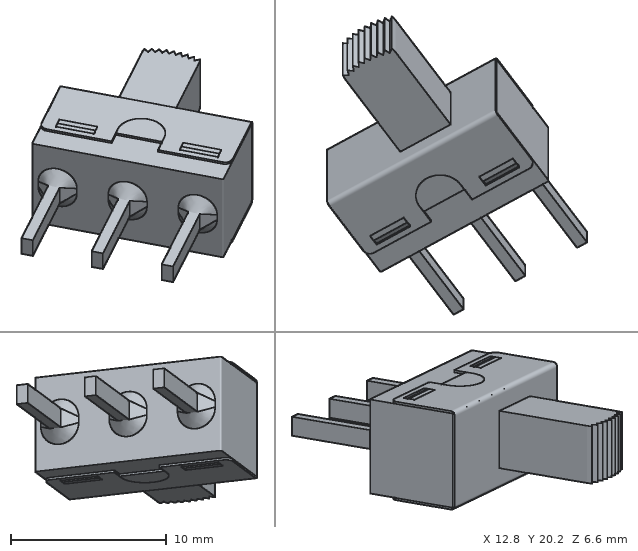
import cadquery as cq
import math


OVERALL_LENGTH = 20.2

BODY_WIDTH = 12.85
BODY_DEPTH = 6.35
BODY_HEIGHT = 6.6
REAR_EDGE_RADIUS = 0.1

SHEET = 0.151
FOLD_RADIUS = 0.3
COVER_DEPTH = 4.8
FLAP_CORNER_RADIUS = 0.5
FLAP_EDGE_Y = BODY_DEPTH - COVER_DEPTH

HOUSING_DEPTH = BODY_DEPTH - SHEET
HOUSING_HEIGHT = BODY_HEIGHT - 2 * SHEET
HOUSING_TOP = HOUSING_HEIGHT / 2
COVER_TOP = BODY_HEIGHT / 2

NOTCH_WIDTH = 3.1
NOTCH_RADIUS = NOTCH_WIDTH / 2
NOTCH_ARC_Y = BODY_DEPTH - 3.43
BOSS_EDGE_Y = BODY_DEPTH - 3.9

WINDOW_WIDTH = 2.56
WINDOW_LENGTH = 0.79
WINDOW_OFFSET = 4.15
WINDOW_FRONT_Y = BODY_DEPTH - 3.6
WINDOW_REAR_Y = WINDOW_FRONT_Y - WINDOW_LENGTH
CATCH_FLAT = 0.42

PIN_COUNT = 3
PIN_PITCH = 4.7
PIN_WIDTH = 0.77
PIN_HEIGHT = 1.27
PIN_LENGTH = 6.6
FLARE_LENGTH = 0.79
FLARE_WIDTH = 2.6
FLARE_HEIGHT = 3.0

SLIDER_SIZE = 3.84
SLIDER_X = -1.1
SLIDER_TIP_Y = OVERALL_LENGTH - PIN_LENGTH
CROWN_RADIUS = 5.61
TOOTH_DEPTH = 0.32
TOOTH_COUNT = 9
TOOTH_ANGLE = math.radians(4.9)


def notch_outline(rear_y):
    """Half-round ended slot in plan, closed by a straight edge at rear_y."""
    return (
        cq.Workplane("XY")
        .moveTo(-NOTCH_RADIUS, rear_y)
        .lineTo(-NOTCH_RADIUS, NOTCH_ARC_Y)
        .threePointArc((0, NOTCH_ARC_Y + NOTCH_RADIUS), (NOTCH_RADIUS, NOTCH_ARC_Y))
        .lineTo(NOTCH_RADIUS, rear_y)
        .close()
    )


def catch(x):
    """Catch that fills a window: level at the front, sloping down to the housing at the rear."""
    return (
        cq.Workplane("YZ", origin=(x - WINDOW_WIDTH / 2, 0, 0))
        .moveTo(WINDOW_REAR_Y, HOUSING_TOP)
        .lineTo(WINDOW_FRONT_Y - CATCH_FLAT, COVER_TOP)
        .lineTo(WINDOW_FRONT_Y, COVER_TOP)
        .lineTo(WINDOW_FRONT_Y, HOUSING_TOP)
        .close()
        .extrude(WINDOW_WIDTH)
    )


def make_housing():
    block = (
        cq.Workplane("XY")
        .box(BODY_WIDTH, HOUSING_DEPTH, HOUSING_HEIGHT, centered=(True, False, True))
        .edges("|Z and <Y")
        .fillet(REAR_EDGE_RADIUS)
    )
    raised = notch_outline(BOSS_EDGE_Y).extrude(SHEET).translate((0, 0, HOUSING_TOP))
    for x in (-WINDOW_OFFSET, WINDOW_OFFSET):
        raised = raised.add(catch(x))
    for detail in raised.vals():
        block = block.union(cq.Workplane(detail)).union(cq.Workplane(detail.mirror("XY")))
    return block


def make_cover():
    sheet = (
        cq.Workplane("XY", origin=(0, FLAP_EDGE_Y, 0))
        .box(BODY_WIDTH, COVER_DEPTH, BODY_HEIGHT, centered=(True, False, True))
        .edges("|X and >Y")
        .fillet(FOLD_RADIUS)
        .edges("|Z and <Y")
        .fillet(FLAP_CORNER_RADIUS)
    )
    inside = cq.Workplane("XY").box(
        BODY_WIDTH, HOUSING_DEPTH, HOUSING_HEIGHT, centered=(True, False, True)
    )
    notch = notch_outline(FLAP_EDGE_Y).extrude(COVER_TOP, both=True)
    windows = (
        cq.Workplane("XY", origin=(0, (WINDOW_FRONT_Y + WINDOW_REAR_Y) / 2, 0))
        .pushPoints([(-WINDOW_OFFSET, 0), (WINDOW_OFFSET, 0)])
        .rect(WINDOW_WIDTH, WINDOW_LENGTH)
        .extrude(COVER_TOP, both=True)
    )
    return sheet.cut(inside).cut(notch).cut(windows)


def make_slider():
    """Square bar with pointed teeth on a crown arc; the outer teeth run down to the bar's sides."""
    half = SLIDER_SIZE / 2
    root_radius = CROWN_RADIUS - TOOTH_DEPTH
    crown_centre_y = SLIDER_TIP_Y - CROWN_RADIUS
    shoulder_y = crown_centre_y + math.sqrt(root_radius**2 - half**2)

    def crown_point(steps_from_middle, radius):
        angle = steps_from_middle * TOOTH_ANGLE
        return (radius * math.sin(angle), crown_centre_y + radius * math.cos(angle))

    outermost = (TOOTH_COUNT - 1) / 2
    outline = [(half, BODY_DEPTH), (-half, BODY_DEPTH), (-half, shoulder_y)]
    outline.append(crown_point(-outermost, CROWN_RADIUS))
    for tooth in range(1, TOOTH_COUNT):
        outline.append(crown_point(tooth - outermost - 0.5, root_radius))
        outline.append(crown_point(tooth - outermost, CROWN_RADIUS))
    outline.append((half, shoulder_y))
    return (
        cq.Workplane("XY", origin=(SLIDER_X, 0, 0))
        .polyline(outline)
        .close()
        .extrude(half, both=True)
    )


def make_pin(x):
    """Rectangular pin whose root flares out to a round-ended base on the housing's rear face."""
    end_radius = FLARE_WIDTH / 2
    side = FLARE_HEIGHT / 2 - end_radius
    flare = (
        cq.Workplane("XZ", origin=(x, 0, 0))
        .moveTo(-end_radius, -side)
        .threePointArc((0, -FLARE_HEIGHT / 2), (end_radius, -side))
        .lineTo(end_radius, side)
        .threePointArc((0, FLARE_HEIGHT / 2), (-end_radius, side))
        .close()
        .workplane(offset=FLARE_LENGTH)
        .rect(PIN_WIDTH, PIN_HEIGHT)
        .loft(ruled=True)
    )
    shank = (
        cq.Workplane("XZ", origin=(x, -FLARE_LENGTH, 0))
        .rect(PIN_WIDTH, PIN_HEIGHT)
        .extrude(PIN_LENGTH - FLARE_LENGTH)
    )
    return flare.union(shank)


housing = make_housing()
cover = make_cover()
slider = make_slider()
pins = [make_pin((i - (PIN_COUNT - 1) / 2) * PIN_PITCH) for i in range(PIN_COUNT)]

result = cq.Compound.makeCompound(
    [housing.val(), cover.val(), slider.val(), *[pin.val() for pin in pins]]
)